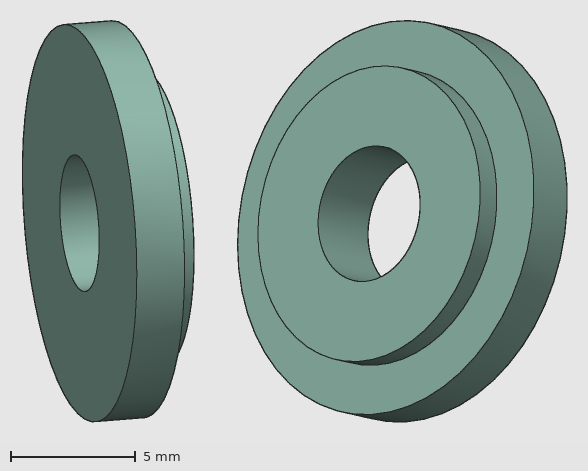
import cadquery as cq

flange_diameter = 16.0
flange_thickness = 2.0
boss_diameter = 0.75 * flange_diameter
boss_height = flange_thickness / 2
bore_diameter = 5.5
total_thickness = flange_thickness + boss_height


def disc(diameter, thickness):
    """Disc about the Y axis, centred in Y on the whole part, growing from its front face toward +Y."""
    front_face = cq.Workplane("XZ", origin=(0, -total_thickness / 2, 0))
    return front_face.circle(diameter / 2).extrude(-thickness)


flange = disc(flange_diameter, flange_thickness)
boss = disc(boss_diameter, total_thickness)

bore = disc(bore_diameter, total_thickness)

result = flange.union(boss).cut(bore)